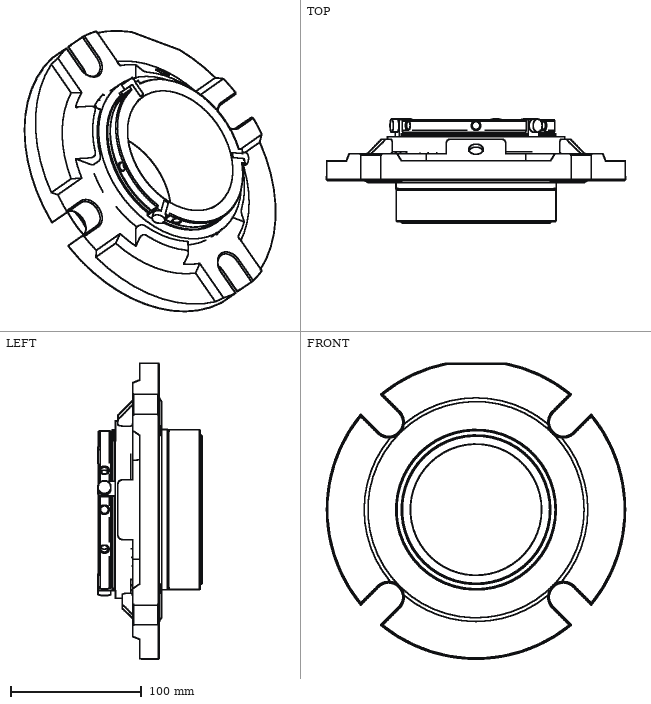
import cadquery as cq
bore_radius = 50.0

flange_radius = 114.2
flange_thickness = 15.0
flange_edge_chamfer = 1.0
flat_height = 112.0

face_rim_radius = 85.5
face_mid_radius = 84.0
face_radius = 82.55
face_height = 1.5
face_mid_height = 0.7

collar_front_radius = 61.31
groove_radius = 59.5
groove_front = -7.3
groove_back = -6.2
sleeve_radius = 61.08
sleeve_chamfer = 0.7
sleeve_shoulder = -31.3
lip_radius = 57.0
lip_chamfer = 1.0
sleeve_end = -32.7

slot_width = 21.5
slot_center_radius = 94.3
slot_chamfer = 1.1
pad_back = 20.5
pad_base_half_width = 30.0
pad_top_half_width = 25.8
pad_inner_radius = 68.5
diagonals = (45, 135, 225, 315)

cone_foot_radius = 88.8
hub_radius = 67.8
hub_back = 33.5
hub_foot_fillet = 1.4
boss_half_width = 22.8
boss_inner_radius = 59.4
boss_corner_radius = 3.7
boss_back = 31.7
low_boss_back = 28.5
boss_backs = {0: boss_back, 90: boss_back, 180: boss_back, 270: low_boss_back}
port_diameter = 11.0
port_depth = 3.2
port_y = 24.0

neck_radius = 52.4
disc_radius = 61.0
disc_front = 34.5
disc_back = 35.9
ring_radius = 60.3
ring_front = 37.0
ring_back = 46.5
ring_edge_radius = 59.5
ring_edge_width = 1.4

screw_y = 42.0
screw_hole_diameter = 6.0
screw_hole_mouth = 7.3
screw_hole_depth = 5.0
screw_hole_angles = (30, 90, 150, 180, 210, 270, 330)

clip_angles = (45, 165, 285)
clip_width = 11.6
clip_inner_radius = 51.4
clip_outer_radius = 62.3
clip_head_diameter = 10.0
clip_head_end = 66.7

overlap = 1.1
slot_reach = 137.0
gap_reach = 125.5
pad_outer_reach = 121.0


def turned(profile):
    """Revolve a closed (radius, y) profile about the Y axis."""
    return profile.close().revolve(360, (0, 0, 0), (0, 1, 0))


def at_angle(shape, angle):
    """Turn a shape built on +X to an angle measured from +X towards +Z."""
    return shape.rotate((0, 0, 0), (0, 1, 0), -angle)


def cone_radius(y):
    """Radius of the 45 degree housing cone at height y."""
    return cone_foot_radius - (y - flange_thickness)


def make_turned_body():
    """Sleeve, flange, hub, neck, disc and locking ring as one turned profile around the bore.

    The flange is left oversize; make_rim_cutter trims it together with the pads.
    """
    return turned(
        cq.Workplane("XY")
        .moveTo(bore_radius, sleeve_end)
        .lineTo(lip_radius - lip_chamfer, sleeve_end)
        .lineTo(lip_radius, sleeve_end + lip_chamfer)
        .lineTo(lip_radius, sleeve_shoulder)
        .lineTo(sleeve_radius - sleeve_chamfer, sleeve_shoulder)
        .lineTo(sleeve_radius, sleeve_shoulder + sleeve_chamfer)
        .lineTo(sleeve_radius, groove_front)
        .lineTo(groove_radius, groove_front)
        .lineTo(groove_radius, groove_back)
        .lineTo(collar_front_radius, groove_back)
        .lineTo(collar_front_radius, -face_height)
        .lineTo(face_radius, -face_height)
        .lineTo(face_mid_radius, -face_mid_height)
        .lineTo(face_rim_radius, 0)
        .lineTo(gap_reach, 0)
        .lineTo(gap_reach, flange_thickness)
        .lineTo(cone_foot_radius, flange_thickness)
        .lineTo(cone_radius(hub_back), hub_back)
        .lineTo(neck_radius, hub_back)
        .lineTo(neck_radius, disc_front)
        .lineTo(disc_radius, disc_front)
        .lineTo(disc_radius, disc_back)
        .lineTo(neck_radius, disc_back)
        .lineTo(neck_radius, ring_front)
        .lineTo(ring_edge_radius, ring_front)
        .lineTo(ring_radius, ring_front + ring_edge_width)
        .lineTo(ring_radius, ring_back - ring_edge_width)
        .lineTo(ring_edge_radius, ring_back)
        .lineTo(bore_radius, ring_back)
    )


def make_pad():
    """Drafted pad on the back of the oversize flange, along +X."""
    return (
        cq.Workplane("YZ", origin=(pad_inner_radius, 0, 0))
        .polyline([
            (flange_thickness, -pad_base_half_width),
            (pad_back, -pad_top_half_width),
            (pad_back, pad_top_half_width),
            (flange_thickness, pad_base_half_width),
        ])
        .close()
        .extrude(pad_outer_reach - pad_inner_radius)
    )


def make_rim_cutter():
    """Ring that trims flange and pads to the rim and chamfers the front edge."""
    edge = flange_edge_chamfer
    return turned(
        cq.Workplane("XY")
        .moveTo(flange_radius - edge - overlap, -overlap)
        .lineTo(flange_radius, edge)
        .lineTo(flange_radius, pad_back + overlap)
        .lineTo(slot_reach, pad_back + overlap)
        .lineTo(slot_reach, -overlap)
    )


def make_boss_bar(back):
    """Bar along +X with rounded back corners: the outline of one boss."""
    length = gap_reach + overlap - boss_inner_radius
    return (
        cq.Workplane("XY")
        .box(length, back - flange_thickness, 2 * boss_half_width, centered=(False, False, True))
        .translate((boss_inner_radius, flange_thickness, 0))
        .edges("|X and >Y")
        .fillet(boss_corner_radius)
    )


def make_boss_gaps():
    """Cutter that bares the round hub, less the bosses, with rounded inside corners."""
    top = hub_back + overlap
    gaps = turned(
        cq.Workplane("XY")
        .moveTo(hub_radius, pad_back)
        .lineTo(gap_reach, pad_back)
        .lineTo(gap_reach, top)
        .lineTo(hub_radius, top)
    )
    for angle, back in boss_backs.items():
        gaps = gaps.cut(at_angle(make_boss_bar(back), angle))
    middle = hub_radius + boss_half_width
    inner_floor = cq.selectors.BoxSelector(
        (-middle, pad_back - overlap, -middle), (middle, pad_back + overlap, middle))
    return gaps.edges(inner_floor).fillet(hub_foot_fillet)


def make_clip():
    """Block spanning from hub to ring, with a screw head standing out along +X."""
    block = cq.Workplane("XY").box(
        clip_outer_radius - clip_inner_radius, ring_back - hub_back, clip_width,
        centered=(False, False, True),
    ).translate((clip_inner_radius, hub_back, 0))
    head = (
        cq.Workplane("YZ", origin=(clip_inner_radius, screw_y, 0))
        .circle(clip_head_diameter / 2)
        .extrude(clip_head_end - clip_inner_radius)
    )
    return block.union(head)


def slot_outline(y, width):
    """Round-bottomed slot outline along +X, in the plane at height y."""
    half = width / 2
    return (
        cq.Workplane("XZ", origin=(0, y, 0))
        .moveTo(slot_reach, -half)
        .lineTo(slot_center_radius, -half)
        .threePointArc((slot_center_radius - half, 0), (slot_center_radius, half))
        .lineTo(slot_reach, half)
        .close()
    )


def make_slot_cutter():
    """Slot through flange and pad with a bevelled edge on both faces."""
    mouth_width = slot_width + 2 * slot_chamfer
    depth = pad_back + face_height
    through = slot_outline(pad_back + overlap, slot_width).extrude(depth + 2 * overlap)
    front_mouth = slot_outline(0, mouth_width).extrude(-slot_chamfer, taper=45)
    back_mouth = slot_outline(pad_back, mouth_width).extrude(slot_chamfer, taper=45)
    return through.union(front_mouth).union(back_mouth)


def make_screw_hole():
    """Blind radial hole in the locking ring on +X, with a conical mouth."""
    mouth_depth = (screw_hole_mouth - screw_hole_diameter) / 2
    floor = ring_radius - screw_hole_depth
    hole = (
        cq.Workplane("XY")
        .moveTo(floor, screw_y)
        .lineTo(floor, screw_y + screw_hole_diameter / 2)
        .lineTo(ring_radius - mouth_depth, screw_y + screw_hole_diameter / 2)
        .lineTo(ring_radius, screw_y + screw_hole_mouth / 2)
        .lineTo(ring_radius + overlap, screw_y + screw_hole_mouth / 2)
        .lineTo(ring_radius + overlap, screw_y)
        .close()
    )
    return hole.revolve(360, (0, screw_y, 0), (1, screw_y, 0))


def make_port():
    """Hole square to the cone face of the +Z boss."""
    inward = cq.Vector(0, -1, -1).normalized()
    mouth = cq.Vector(0, port_y, cone_radius(port_y))
    start = mouth - inward * port_diameter
    return cq.Workplane(
        cq.Solid.makeCylinder(port_diameter / 2, port_depth + port_diameter, start, inward)
    )


body = make_turned_body()
for angle in diagonals:
    body = body.union(at_angle(make_pad(), angle))
body = body.cut(make_rim_cutter())
body = body.cut(make_boss_gaps())

for angle in clip_angles:
    body = body.union(at_angle(make_clip(), angle))

for angle in diagonals:
    body = body.cut(at_angle(make_slot_cutter(), angle))
for angle in screw_hole_angles:
    body = body.cut(at_angle(make_screw_hole(), angle))
body = body.cut(make_port())

rim_cut_height = 2 * (flange_radius - flat_height)
rim_above_flat = (
    cq.Workplane("YZ", origin=(-flange_radius, 0, 0))
    .moveTo(-overlap, flat_height - flange_edge_chamfer - overlap)
    .lineTo(flange_edge_chamfer, flat_height)
    .lineTo(pad_back + overlap, flat_height)
    .lineTo(pad_back + overlap, flat_height + rim_cut_height)
    .lineTo(-overlap, flat_height + rim_cut_height)
    .close()
    .extrude(2 * flange_radius)
)
result = body.cut(rim_above_flat)